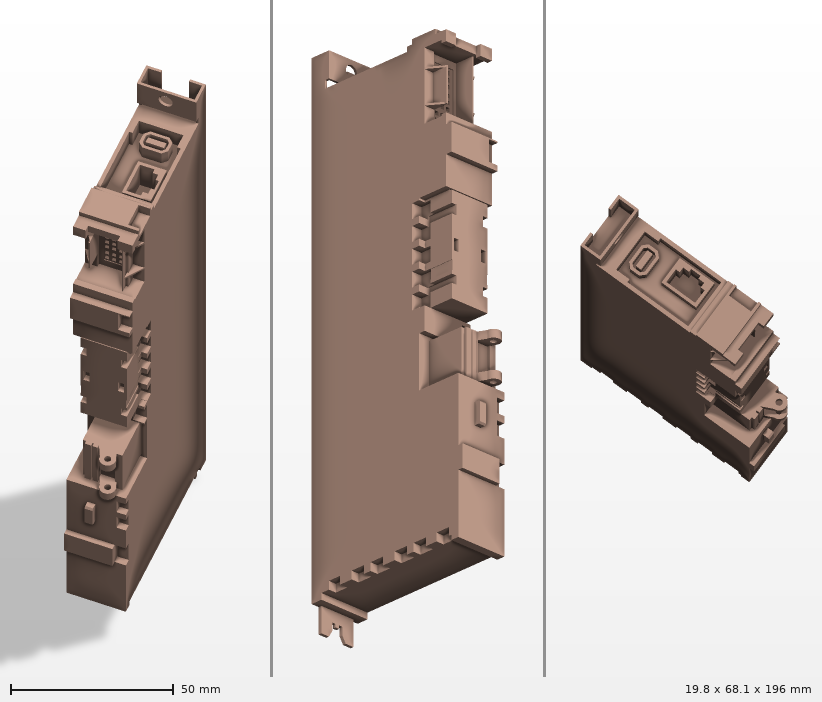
import cadquery as cq


WIDTH = 19.76
DEPTH = 68.09
HEIGHT = 196.0
MID_X = WIDTH / 2

BODY_BOTTOM = 11.7
REAR_FOOT_Z = 9.4
REAR_FOOT_DEPTH = 4.3
FRONT_FOOT_Z = 9.9
FRONT_FOOT_DEPTH = 61.4
LOWER_FRONT = 64.5
BAY_BOTTOM = 66.0
BAY_TOP = 85.5
BAY_DEPTH = 47.3
LEDGE_FRONT = 49.7
UPPER_BOTTOM = 94.2
UPPER_FRONT = 59.1
BODY_TOP = 183.5
LIP_TOP = 185.3
LIP_BOTTOM = 181.2
LIP_BACK = 57.1
CROWN_TOP = 187.1
CROWN_BACK = 44.2
CROWN_FRONT = 54.4
CROWN_STEP_BACK = 41.9

LABEL_WIDTH = 16.0
UPPER_LABEL = (142.6, 152.8)
UPPER_LABEL_FRONT = 61.55
LOWER_LABEL = (32.9, 41.3)
LOWER_LABEL_FRONT = 66.3

SHEET = 0.9
BRACKET_DEPTH = 7.7
BRACKET_BOTTOM = 186.4
BRACKET_NECK_DEPTH = 5.9
BRACKET_LIP_WIDTH = 5.2
MOUNT_HOLE_DIAMETER = 4.7
MOUNT_HOLE_X = 9.6
MOUNT_HOLE_Z = 191.8
TAB_WIDTH = 13.8
TAB_THICKNESS = 1.2
TAB_SLOT_WIDTH = 4.3
TAB_SLOT_TOP = 5.3
TAB_TOOTH_WIDTH = 1.5
TAB_TOOTH_BOTTOM = 4.1
TAB_MOUTH_WIDTH = 7.2
TAB_FLARE_TOP = 2.4

POCKET_FLOOR = 177.5
POCKET_NARROW_X = (2.4, 17.2)
POCKET_WIDE_X = (1.3, 18.4)
POCKET_BACK = 11.9
POCKET_STEP = 17.0
POCKET_FRONT = 40.2
USB_X = (5.3, 14.9)
USB_DEPTH = (13.5, 20.2)
USB_TONGUE_X = (7.1, 13.2)
USB_TONGUE_DEPTH = (15.9, 17.9)
USB_TOP = 182.3
USB_RIM = 1.0
USB_CORNER = 1.6
JACK_X = (7.7, 17.2)
JACK_DEPTH = (25.3, 38.5)
JACK_TOP = 181.8
JACK_WALL = 1.0
JACK_CAVITY = 10.0
JACK_STEPS = ((13.6, 5.5), (15.4, 4.0), (16.5, 1.8))

TERMINAL_X = (4.2, 14.8)
TERMINAL_FRONT = 55.6
TERMINAL_Z = (156.3, 182.3)
TERMINAL_BAY_DEPTH = 49.6
TERMINAL_WALL = 0.6
RIGHT_WALL = 0.3
SHOULDER_RIGHT = 16.0
SHOULDER_FRONT = 53.3
TERMINAL_FLOOR = 48.4
TERMINAL_FACE_X = (5.8, 13.6)
TERMINAL_FACE_Z = (159.0, 179.7)
TERMINAL_FACE_DEPTH = 0.3
CONTACT_PITCH = 2.36
CONTACT_SIZE = 1.4
CONTACT_DEPTH = 3.0
CONTACT_FIRST_X = 6.7
CONTACT_COLUMNS = 3
CONTACT_GROUPS = ((178.0, 3), (170.3, 3), (162.7, 2))
GUSSET_THICKNESS = 0.7
GUSSET_HEIGHTS = (162.5, 175.0)
TERMINAL_SILL = 0.6

COVER_X = (2.5, 17.85)
COVER_MID_X = sum(COVER_X) / 2
COVER_TOP = 131.7
COVER_GAP = 0.4
COVER_GAP_DEPTH = 1.0
COVER_MARGIN_DEPTH = 47.3
COVER_GROOVE_Z = (103.9, 107.5)
COVER_GROOVE_DEPTH = 0.2
COVER_NOTCH_WIDTH = 4.4
COVER_NOTCHES = ((99.5, 102.6), (123.2, 126.8))
COVER_WINDOW_X = (3.4, 5.4)
COVER_WINDOW_Z = (110.9, 115.2)
COVER_WINDOW_DEPTH = 2.0
SIDE_SLOT_BACK = 44.2
SIDE_SLOT_WIDTH = 4.0
SIDE_SLOT_HEIGHT = 5.4
SIDE_SLOT_FIRST_Z = 94.4
SIDE_SLOT_PITCH = 7.8
SIDE_SLOT_COUNT = 5

SOCKET_X = (4.2, 17.8)
SOCKET_Z = (67.2, 84.2)
SOCKET_FRONT = 61.5
FRAME_LEFT = 5.3
FRAME_FRONT = 62.6
FRAME_GROOVE_XS = (7.4, 9.6)
FRAME_GROOVE_WIDTH = 0.5
SOCKET_WINDOW_X = (10.3, 15.4)
LUG_HEIGHT = 3.0
LUG_X = 14.1
LUG_RADIUS = 2.6
LUG_BORE_RADIUS = 1.1
LUG_ROOT_X = (9.6, 15.6)

KNOB_X = (7.0, 9.6)
KNOB_Z = (50.4, 58.4)
KNOB_FRONT = 66.9
KNOB_CHAMFER = 0.6

LOWER_RECESS_X = 16.7
LOWER_RECESS_FLOOR = 62.2
EDGE_RECESSES = (
    (LABEL_WIDTH, (144.6, 152.3), (UPPER_FRONT, UPPER_LABEL_FRONT)),
    (LABEL_WIDTH, (86.1, 92.8), (BAY_DEPTH, LEDGE_FRONT)),
    (LOWER_RECESS_X, (57.9, 63.2), (LOWER_RECESS_FLOOR, LOWER_FRONT)),
    (LOWER_RECESS_X, (50.2, 55.4), (LOWER_RECESS_FLOOR, LOWER_FRONT)),
    (LABEL_WIDTH, LOWER_LABEL, (LOWER_RECESS_FLOOR, LOWER_LABEL_FRONT)),
)
CROWN_RECESS_X = 15.9
CROWN_RECESS_DEPTH = (45.0, 53.4)

VENTS = ((7.6, 12.5), (17.6, 23.1), (25.9, 31.4), (36.5, 42.0), (44.8, 50.3), (54.9, 60.4))
VENT_TOP = 14.7
VENT_WIDTH = 3.0


def box(x_range, depth_range, z_range):
    """Block spanning the given X, depth (towards -Y) and Z ranges."""
    x0, x1 = x_range
    d0, d1 = depth_range
    z0, z1 = z_range
    return cq.Workplane("XY").box(x1 - x0, d1 - d0, z1 - z0, centered=False).translate((x0, -d1, z0))


def mirror_x(shape, middle_x):
    """The same shape reflected in the plane X = middle_x."""
    return shape.mirror("YZ", (middle_x, 0, 0))


def housing():
    outline = [
        (0, REAR_FOOT_Z),
        (REAR_FOOT_DEPTH, REAR_FOOT_Z),
        (REAR_FOOT_DEPTH, BODY_BOTTOM),
        (FRONT_FOOT_DEPTH, BODY_BOTTOM),
        (FRONT_FOOT_DEPTH, FRONT_FOOT_Z),
        (LOWER_FRONT, FRONT_FOOT_Z),
        (LOWER_FRONT, LOWER_LABEL[0]),
        (LOWER_LABEL_FRONT, LOWER_LABEL[0]),
        (LOWER_LABEL_FRONT, LOWER_LABEL[1]),
        (LOWER_FRONT, LOWER_LABEL[1]),
        (LOWER_FRONT, BAY_BOTTOM),
        (BAY_DEPTH, BAY_BOTTOM),
        (BAY_DEPTH, BAY_TOP),
        (LEDGE_FRONT, BAY_TOP),
        (LEDGE_FRONT, UPPER_BOTTOM),
        (UPPER_FRONT, UPPER_BOTTOM),
        (UPPER_FRONT, UPPER_LABEL[0]),
        (UPPER_LABEL_FRONT, UPPER_LABEL[0]),
        (UPPER_LABEL_FRONT, UPPER_LABEL[1]),
        (UPPER_FRONT, UPPER_LABEL[1]),
        (UPPER_FRONT, TERMINAL_Z[0] + TERMINAL_SILL),
        (LIP_BACK, TERMINAL_Z[0] + TERMINAL_SILL),
        (LIP_BACK, TERMINAL_Z[0]),
        (TERMINAL_BAY_DEPTH, TERMINAL_Z[0]),
        (TERMINAL_BAY_DEPTH, TERMINAL_Z[1]),
        (LIP_BACK, TERMINAL_Z[1]),
        (LIP_BACK, LIP_BOTTOM),
        (UPPER_FRONT, LIP_BOTTOM),
        (UPPER_FRONT, LIP_TOP),
        (CROWN_FRONT, LIP_TOP),
        (CROWN_FRONT, CROWN_TOP),
        (CROWN_BACK, CROWN_TOP),
        (CROWN_BACK, LIP_TOP),
        (CROWN_STEP_BACK, LIP_TOP),
        (CROWN_STEP_BACK, BODY_TOP),
        (0, BODY_TOP),
    ]
    points = [(-depth, z) for depth, z in outline]
    body = cq.Workplane("YZ").polyline(points).close().extrude(WIDTH)
    body = body.cut(box(TERMINAL_X, (LIP_BACK, UPPER_FRONT), (LIP_BOTTOM, LIP_TOP)))
    return body


def bracket():
    z_range = (BRACKET_BOTTOM, HEIGHT)
    channel = box((0, WIDTH), (0, BRACKET_DEPTH), z_range)
    channel = channel.union(box((0, WIDTH), (0, BRACKET_NECK_DEPTH), (BODY_TOP, BRACKET_BOTTOM)))
    inside_z = (BODY_TOP, HEIGHT)
    inside = box((SHEET, WIDTH - SHEET), (SHEET, BRACKET_DEPTH - SHEET), inside_z)
    back_gap = box((BRACKET_LIP_WIDTH, WIDTH - BRACKET_LIP_WIDTH), (0, SHEET), inside_z)
    hole = (
        cq.Workplane("XZ")
        .center(MOUNT_HOLE_X, MOUNT_HOLE_Z)
        .circle(MOUNT_HOLE_DIAMETER / 2)
        .extrude(BRACKET_DEPTH)
    )
    return channel.cut(inside).cut(back_gap).cut(hole)


def bottom_tab():
    tab_x = (MID_X - TAB_WIDTH / 2, MID_X + TAB_WIDTH / 2)
    tab = box(tab_x, (0, TAB_THICKNESS), (0, REAR_FOOT_Z))
    half_mouth = [
        (TAB_MOUTH_WIDTH / 2, 0),
        (TAB_SLOT_WIDTH / 2, TAB_FLARE_TOP),
        (TAB_SLOT_WIDTH / 2, TAB_SLOT_TOP),
        (TAB_TOOTH_WIDTH / 2, TAB_SLOT_TOP),
        (TAB_TOOTH_WIDTH / 2, TAB_TOOTH_BOTTOM),
    ]
    points = half_mouth + [(-x, z) for x, z in reversed(half_mouth)]
    slot = cq.Workplane("XZ").center(MID_X, 0).polyline(points).close().extrude(TAB_THICKNESS)
    return tab.cut(slot)


def top_pocket():
    z_range = (POCKET_FLOOR, BODY_TOP)
    narrow = box(POCKET_NARROW_X, (POCKET_BACK, POCKET_STEP), z_range)
    return narrow.union(box(POCKET_WIDE_X, (POCKET_STEP, POCKET_FRONT), z_range))


def usb_port():
    z_range = (POCKET_FLOOR, USB_TOP)
    port = box(USB_X, USB_DEPTH, z_range).edges("|Z").chamfer(USB_CORNER)
    cavity_x = (USB_X[0] + USB_RIM, USB_X[1] - USB_RIM)
    cavity_depth = (USB_DEPTH[0] + USB_RIM, USB_DEPTH[1] - USB_RIM)
    cavity = box(cavity_x, cavity_depth, z_range).edges("|Z").chamfer(USB_RIM)
    tongue = box(USB_TONGUE_X, USB_TONGUE_DEPTH, z_range)
    return port.cut(cavity).union(tongue)


def network_jack():
    return box(JACK_X, JACK_DEPTH, (POCKET_FLOOR, JACK_TOP))


def network_jack_cavity():
    """Plug opening that narrows in steps towards the latch on the right."""
    z_range = (JACK_TOP - JACK_CAVITY, JACK_TOP)
    middle = sum(JACK_DEPTH) / 2
    left = JACK_X[0] + JACK_WALL
    cavity = cq.Workplane("XY")
    for right, half_width in JACK_STEPS:
        cavity = cavity.add(box((left, right), (middle - half_width, middle + half_width), z_range))
    return cavity.combine()


def gusset(z):
    """Triangular rib with its underside at z, filling the corner left of the terminal strip."""
    points = [
        (0, -TERMINAL_BAY_DEPTH),
        (TERMINAL_X[0], -TERMINAL_BAY_DEPTH),
        (TERMINAL_X[0], -TERMINAL_FRONT),
    ]
    return cq.Workplane("XY", origin=(0, 0, z)).polyline(points).close().extrude(GUSSET_THICKNESS)


def terminal_walls():
    """Side walls of the terminal strip, braced by gussets."""
    depth_range = (TERMINAL_BAY_DEPTH, TERMINAL_FRONT)
    left_wall = box((TERMINAL_X[0] - TERMINAL_WALL, TERMINAL_X[0]), depth_range, GUSSET_HEIGHTS)
    right_wall = box((TERMINAL_X[1], TERMINAL_X[1] + RIGHT_WALL), depth_range, TERMINAL_Z)
    shoulder_depth = (TERMINAL_BAY_DEPTH, SHOULDER_FRONT)
    shoulder = box((TERMINAL_X[1], SHOULDER_RIGHT), shoulder_depth, TERMINAL_Z)
    walls = left_wall.union(right_wall).union(shoulder)
    for z in GUSSET_HEIGHTS:
        walls = walls.union(gusset(z)).union(mirror_x(gusset(z), MID_X))
    return walls


def terminal_contacts():
    """Square contact holes in a two-step recess at the back of the terminal strip."""
    recess = box(TERMINAL_X, (TERMINAL_FLOOR, TERMINAL_BAY_DEPTH), TERMINAL_Z)
    face_floor = TERMINAL_FLOOR - TERMINAL_FACE_DEPTH
    recess = recess.union(box(TERMINAL_FACE_X, (face_floor, TERMINAL_FLOOR), TERMINAL_FACE_Z))
    contacts = [
        (CONTACT_FIRST_X + column * CONTACT_PITCH, top_z - row * CONTACT_PITCH)
        for top_z, rows in CONTACT_GROUPS
        for row in range(rows)
        for column in range(CONTACT_COLUMNS)
    ]
    holes = (
        cq.Workplane("XZ", origin=(0, CONTACT_DEPTH - TERMINAL_FLOOR, 0))
        .pushPoints(contacts)
        .rect(CONTACT_SIZE, CONTACT_SIZE)
        .extrude(CONTACT_DEPTH)
    )
    return recess.union(holes)


def cover_cuts():
    """Material removed beside and in the front connector cover."""
    depth_range = (COVER_MARGIN_DEPTH, UPPER_FRONT)
    side = box((0, COVER_X[0]), depth_range, (UPPER_BOTTOM, COVER_TOP))
    groove_x = (0, COVER_X[0] + COVER_GROOVE_DEPTH)
    side = side.union(box(groove_x, (LEDGE_FRONT, UPPER_FRONT), COVER_GROOVE_Z))
    for notch_z in COVER_NOTCHES:
        side = side.union(box((0, COVER_NOTCH_WIDTH), depth_range, notch_z))
    for index in range(SIDE_SLOT_COUNT):
        z = SIDE_SLOT_FIRST_Z + index * SIDE_SLOT_PITCH
        slot_depth = (SIDE_SLOT_BACK, LEDGE_FRONT)
        side = side.union(box((0, SIDE_SLOT_WIDTH), slot_depth, (z, z + SIDE_SLOT_HEIGHT)))
    window_depth = (UPPER_FRONT - COVER_WINDOW_DEPTH, UPPER_FRONT)
    side = side.union(box(COVER_WINDOW_X, window_depth, COVER_WINDOW_Z))
    gap_z = (COVER_TOP - COVER_GAP, COVER_TOP)
    gap = box(COVER_X, (UPPER_FRONT - COVER_GAP_DEPTH, UPPER_FRONT), gap_z)
    return side.union(mirror_x(side, COVER_MID_X)).union(gap)


def lug(z):
    """Socket lug with its underside at z: a tapered root ending in a bored eye."""
    eye_depth = DEPTH - LUG_RADIUS
    root = [
        (LUG_ROOT_X[0], -SOCKET_FRONT),
        (LUG_ROOT_X[1], -SOCKET_FRONT),
        (LUG_X + LUG_RADIUS, -eye_depth),
        (LUG_X - LUG_RADIUS, -eye_depth),
    ]
    base = cq.Workplane("XY", origin=(0, 0, z))
    eye = base.center(LUG_X, -eye_depth).circle(LUG_RADIUS).extrude(LUG_HEIGHT)
    bore = base.center(LUG_X, -eye_depth).circle(LUG_BORE_RADIUS).extrude(LUG_HEIGHT)
    return base.polyline(root).close().extrude(LUG_HEIGHT).union(eye).cut(bore)


def socket():
    block = box(SOCKET_X, (BAY_DEPTH, SOCKET_FRONT), SOCKET_Z)
    frame_depth = (SOCKET_FRONT, FRAME_FRONT)
    block = block.union(box((FRAME_LEFT, SOCKET_X[1]), frame_depth, SOCKET_Z))
    for x in FRAME_GROOVE_XS:
        block = block.cut(box((x, x + FRAME_GROOVE_WIDTH), frame_depth, SOCKET_Z))
    window_z = (SOCKET_Z[0] + LUG_HEIGHT, SOCKET_Z[1] - LUG_HEIGHT)
    block = block.cut(box(SOCKET_WINDOW_X, frame_depth, window_z))
    for z in (SOCKET_Z[0], SOCKET_Z[1] - LUG_HEIGHT):
        block = block.union(lug(z))
    return block


def knob():
    slider = box(KNOB_X, (LOWER_FRONT, KNOB_FRONT), KNOB_Z)
    return slider.faces("<Y").edges("|X").chamfer(KNOB_CHAMFER)


def edge_recesses():
    crown_z = (BODY_TOP, CROWN_TOP)
    cuts = box((CROWN_RECESS_X, WIDTH), CROWN_RECESS_DEPTH, crown_z)
    for left_x, z_range, depth_range in EDGE_RECESSES:
        cuts = cuts.union(box((left_x, WIDTH), depth_range, z_range))
    return cuts


def vent_notches():
    cuts = cq.Workplane("XY")
    for depth_range in VENTS:
        cuts = cuts.add(box((0, VENT_WIDTH), depth_range, (BODY_BOTTOM, VENT_TOP)))
    return cuts.combine()


body = housing()
for cutter in (top_pocket(), cover_cuts(), edge_recesses(), vent_notches(), terminal_contacts()):
    body = body.cut(cutter)
for addition in (
    bracket(),
    bottom_tab(),
    usb_port(),
    network_jack(),
    terminal_walls(),
    socket(),
    knob(),
):
    body = body.union(addition)

result = body.cut(network_jack_cavity())